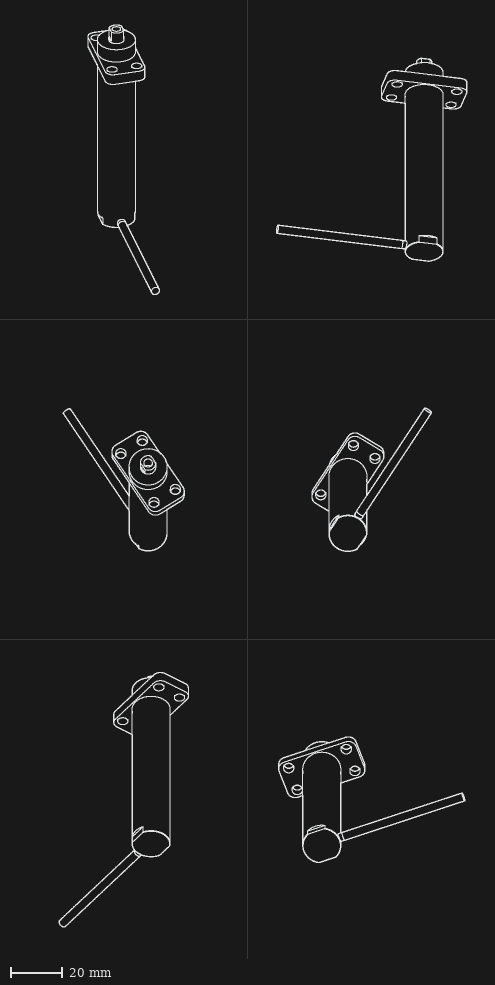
import cadquery as cq
import math

total_height = 87.5

body_diameter = 15.0
body_height = 82.6
base_chamfer = 0.2
base_flat_width = 13.0
base_flat_height = 3.0

plate_length = 32.0
plate_width = 16.0
plate_thickness = 4.5
plate_corner_radius = 3.15
plate_top = 76.9
hole_diameter = 4.0
hole_spacing_x = 24.0
hole_spacing_y = 10.0

shaft_diameter = 6.0
shaft_flat_width = 5.0
shaft_flat_height = 4.0
bore_diameter = 3.3
bore_depth = 8.0
drill_point_angle = 118.0

cable_diameter = 3.3
cable_center_height = 2.1
cable_end_x = 59.0
neck_diameter = 3.2
neck_length = 1.5


def cut_side_flats(solid, diameter, flat_width, bottom, height):
    """Cut two parallel flats, facing -Y and +Y, over a stretch of a cylinder."""
    depth = (diameter - flat_width) / 2
    offset = (diameter + flat_width) / 4
    for side in (-1, 1):
        waste = (
            cq.Workplane("XY", origin=(0, side * offset, bottom))
            .rect(diameter, depth)
            .extrude(height)
        )
        solid = solid.cut(waste)
    return solid


def make_body():
    body = cq.Workplane("XY").circle(body_diameter / 2).extrude(body_height)
    body = body.faces("<Z").edges().chamfer(base_chamfer)
    return cut_side_flats(body, body_diameter, base_flat_width, 0, base_flat_height)


def make_plate():
    return (
        cq.Workplane("XY", origin=(0, 0, plate_top - plate_thickness))
        .rect(plate_length, plate_width)
        .extrude(plate_thickness)
        .edges("|Z")
        .fillet(plate_corner_radius)
        .faces(">Z")
        .workplane()
        .rarray(hole_spacing_x, hole_spacing_y, 2, 2)
        .hole(hole_diameter)
    )


def make_shaft():
    shaft_height = total_height - body_height
    shaft = (
        cq.Workplane("XY", origin=(0, 0, body_height))
        .circle(shaft_diameter / 2)
        .extrude(shaft_height)
    )
    flat_bottom = total_height - shaft_flat_height
    return cut_side_flats(shaft, shaft_diameter, shaft_flat_width, flat_bottom, shaft_flat_height)


def make_bore():
    """Drilled hole: a half profile with a conical tip, revolved about the Z axis."""
    radius = bore_diameter / 2
    bottom = total_height - bore_depth
    point_depth = radius / math.tan(math.radians(drill_point_angle / 2))
    return (
        cq.Workplane("XZ")
        .moveTo(0, total_height)
        .lineTo(radius, total_height)
        .lineTo(radius, bottom)
        .lineTo(0, bottom - point_depth)
        .close()
        .revolve(360, (0, 0, 0), (0, 1, 0))
    )


def make_cable():
    """Cable and its neck; the neck starts at the body axis to merge fully with the body."""
    cable_start_x = body_diameter / 2 + neck_length
    neck = (
        cq.Workplane("YZ", origin=(0, 0, cable_center_height))
        .circle(neck_diameter / 2)
        .extrude(cable_start_x)
    )
    cable = (
        cq.Workplane("YZ", origin=(cable_start_x, 0, cable_center_height))
        .circle(cable_diameter / 2)
        .extrude(cable_end_x - cable_start_x)
    )
    return neck.union(cable)


result = make_body().union(make_plate()).union(make_shaft()).union(make_cable()).cut(make_bore())